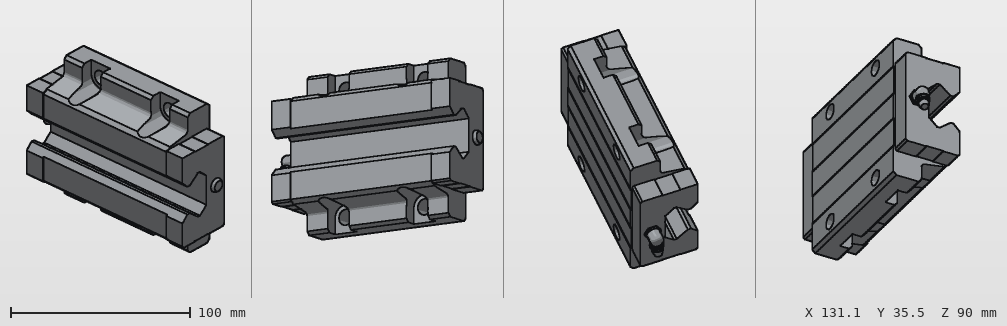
import cadquery as cq
import math


BLOCK_LENGTH = 93.3
BLOCK_DEPTH = 34.9
FLANGE_WIDTH = 90.0
FLANGE_DEPTH = 18.0
FLANGE_CHAMFER = 2.0
NECK_WIDTH = 65.5
SHOULDER_DEPTH = 32.4
SHOULDER_WIDTH = 60.5
FRONT_WIDTH = 55.7
NECK_FILLET = 2.6

RELIEF_DEPTH = 0.4
RELIEF_INNER = 8.1
RELIEF_OUTER = 26.1

CAP_LENGTH = 12.2
CAP_WIDTH = 58.2
CAP_BACK = 1.0
CAP_FRONT = 35.5
CAP_CHAMFER = 1.2
WAIST_START = 14.4
WAIST_END = 25.0
WAIST_STEP = 0.3

SLOT_FLOOR = 15.9
SLOT_FLOOR_HALF = 9.5
SLOT_BELLY_HALF = 14.2
SLOT_BELLY_START = 21.1
SLOT_BELLY_END = 22.8
SLOT_THROAT_HALF = 8.9
SLOT_THROAT_START = 29.5
SLOT_THROAT_END = 31.5

HOLE_DIAMETER = 9.0
HOLE_PITCH_X = 52.0
HOLE_PITCH_Z = 72.1
SEAT_WIDTH = 14.2
SEAT_DEPTH = 10.4

PORT_DEPTH = 8.0
THREAD_DIAMETER = 6.5
HEX_FLATS = 8.4
HEX_START = 0.5
HEX_END = 2.0
ELBOW_DIAMETER = 7.9
ELBOW_REACH = 9.8
ELBOW_ROUND = 2.6
SPOUT_ANGLE = 22.5
SPOUT_START = 5.2
SPOUT_LENGTH = 11.0
ROOT_DIAMETER = 6.5
COLLAR_DIAMETER = 8.0
COLLAR_START = 3.4
COLLAR_END = 6.0
COLLAR_BEVEL = 0.8
NECK_DIAMETER = 5.5
HEAD_DIAMETER = 6.5
HEAD_START = 7.5
HEAD_TAPER_DIAMETER = 5.4
HEAD_TAPER_END = 9.6
TIP_DIAMETER = 4.2
PLUG_DIAMETER = 8.4
PLUG_LENGTH = 2.0
PLUG_BULGE = 0.28
PLUG_TIP_DIAMETER = 6.3

CAP_END = BLOCK_LENGTH / 2 + CAP_LENGTH


def symmetric_prism(half_outline, length):
    """Extrude a (depth, half width) outline, mirrored about Z = 0, centred on X = 0."""
    upper = [(-depth, half) for depth, half in half_outline]
    lower = [(-depth, -half) for depth, half in reversed(half_outline)]
    return cq.Workplane("YZ").polyline(upper + lower).close().extrude(length / 2, both=True)


def make_block():
    flange_half = FLANGE_WIDTH / 2
    block = symmetric_prism(
        [
            (0, flange_half - FLANGE_CHAMFER),
            (FLANGE_CHAMFER, flange_half),
            (FLANGE_DEPTH - FLANGE_CHAMFER, flange_half),
            (FLANGE_DEPTH, flange_half - FLANGE_CHAMFER),
            (FLANGE_DEPTH, NECK_WIDTH / 2),
            (SHOULDER_DEPTH, SHOULDER_WIDTH / 2),
            (BLOCK_DEPTH, FRONT_WIDTH / 2),
        ],
        BLOCK_LENGTH,
    )
    for side in (-1, 1):
        neck_corner = cq.selectors.NearestToPointSelector((0, -FLANGE_DEPTH, side * NECK_WIDTH / 2))
        block = block.edges(neck_corner).fillet(NECK_FILLET)
    return block


def make_reliefs():
    strip = cq.Workplane("XY").box(BLOCK_LENGTH, 2 * RELIEF_DEPTH, RELIEF_OUTER - RELIEF_INNER)
    offset = (RELIEF_INNER + RELIEF_OUTER) / 2
    return strip.translate((0, 0, offset)).union(strip.translate((0, 0, -offset)))


def make_cap():
    half = CAP_WIDTH / 2
    waist = half - WAIST_STEP
    cap = symmetric_prism(
        [
            (CAP_BACK, half - CAP_CHAMFER),
            (CAP_BACK + CAP_CHAMFER, half),
            (WAIST_START, half),
            (WAIST_START, waist),
            (WAIST_END, waist),
            (WAIST_END, half),
            (CAP_FRONT, half),
        ],
        CAP_LENGTH,
    )
    lower_front_edge = cq.selectors.NearestToPointSelector((0, -CAP_FRONT, -half))
    return cap.edges(lower_front_edge).chamfer(CAP_CHAMFER)


def make_slot():
    mouth_half = SLOT_THROAT_HALF + CAP_FRONT - SLOT_THROAT_END
    return symmetric_prism(
        [
            (SLOT_FLOOR, SLOT_FLOOR_HALF),
            (SLOT_BELLY_START, SLOT_BELLY_HALF),
            (SLOT_BELLY_END, SLOT_BELLY_HALF),
            (SLOT_THROAT_START, SLOT_THROAT_HALF),
            (SLOT_THROAT_END, SLOT_THROAT_HALF),
            (CAP_FRONT, mouth_half),
        ],
        2 * CAP_END,
    )


def make_mounting_cut():
    """Through hole with a round-ended seat that opens on the +Z edge of the flange."""
    seat_run = FLANGE_WIDTH / 2 - HOLE_PITCH_Z / 2
    base = cq.Workplane("XZ")
    hole = base.circle(HOLE_DIAMETER / 2).extrude(BLOCK_DEPTH)
    front = base.workplane(offset=SEAT_DEPTH)
    seat_depth = BLOCK_DEPTH - SEAT_DEPTH
    seat_end = front.circle(SEAT_WIDTH / 2).extrude(seat_depth)
    seat_opening = front.rect(SEAT_WIDTH, 2 * seat_run).extrude(seat_depth)
    outer_half = cq.Workplane("XY").box(SEAT_WIDTH, 2 * BLOCK_DEPTH, seat_run, centered=(True, True, False))
    return hole.union(seat_end).union(seat_opening.intersect(outer_half))


def make_spout():
    """Collar, neck and tapered head, turned about the spout axis and tilted off -Z."""
    collar_radius = COLLAR_DIAMETER / 2
    root_radius = ROOT_DIAMETER / 2
    bevel_radius = collar_radius - COLLAR_BEVEL
    neck_radius = NECK_DIAMETER / 2
    spout = (
        cq.Workplane("XZ")
        .polyline(
            [
                (0, 0),
                (root_radius, 0),
                (root_radius, -COLLAR_START),
                (collar_radius, -COLLAR_START - COLLAR_BEVEL),
                (collar_radius, -COLLAR_END + COLLAR_BEVEL),
                (bevel_radius, -COLLAR_END),
                (neck_radius, -COLLAR_END),
                (neck_radius, -HEAD_START),
                (HEAD_DIAMETER / 2, -HEAD_START),
                (HEAD_TAPER_DIAMETER / 2, -HEAD_TAPER_END),
                (TIP_DIAMETER / 2, -SPOUT_LENGTH),
                (0, -SPOUT_LENGTH),
            ]
        )
        .close()
        .revolve(360, (0, 0), (0, 1))
    )
    return spout.rotate((0, 0, 0), (0, 1, 0), SPOUT_ANGLE)


def make_nipple():
    """Hexagon and rounded elbow pointing to -X from the origin, with the tilted spout."""
    corner_diameter = HEX_FLATS / math.cos(math.radians(30))
    thread = cq.Workplane("YZ").circle(THREAD_DIAMETER / 2).extrude(-HEX_END)
    hexagon = cq.Workplane("YZ", origin=(-HEX_START, 0, 0))
    hexagon = hexagon.polygon(6, corner_diameter).extrude(HEX_START - HEX_END)
    elbow = cq.Workplane("YZ", origin=(-HEX_END, 0, 0))
    elbow = elbow.circle(ELBOW_DIAMETER / 2).extrude(HEX_END - ELBOW_REACH)
    elbow = elbow.faces("<X").edges().fillet(ELBOW_ROUND)
    spout = make_spout().translate((-SPOUT_START, 0, 0))
    return thread.union(hexagon).union(elbow).union(spout)


def make_plug():
    """Round plug pointing to +X, with a side that curves in to a flat tip."""
    tip_radius = PLUG_TIP_DIAMETER / 2
    return (
        cq.Workplane("XY")
        .lineTo(0, PLUG_DIAMETER / 2)
        .sagittaArc((PLUG_LENGTH, tip_radius), PLUG_BULGE)
        .lineTo(PLUG_LENGTH, 0)
        .close()
        .revolve(360, (0, 0), (1, 0))
    )


result = make_block().cut(make_reliefs())

mounting_cut = make_mounting_cut()
for x in (-HOLE_PITCH_X / 2, HOLE_PITCH_X / 2):
    upper_cut = mounting_cut.translate((x, 0, HOLE_PITCH_Z / 2))
    result = result.cut(upper_cut).cut(upper_cut.mirror("XY"))

cap_centre = (BLOCK_LENGTH + CAP_LENGTH) / 2
for x in (-cap_centre, cap_centre):
    result = result.union(make_cap().translate((x, 0, 0)))

result = result.cut(make_slot())
result = result.union(make_nipple().translate((-CAP_END, -PORT_DEPTH, 0)))
result = result.union(make_plug().translate((CAP_END, -PORT_DEPTH, 0)))